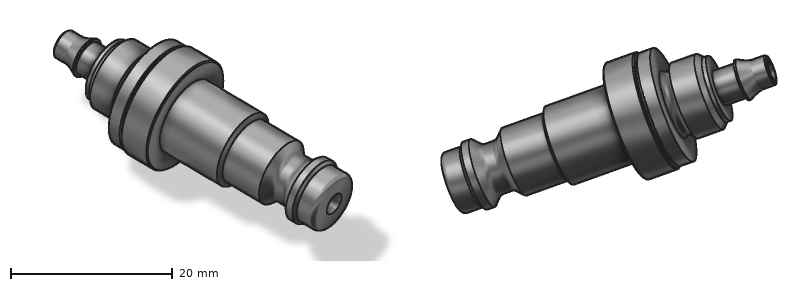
import cadquery as cq

TOTAL_LENGTH = 43.0
BORE_DIAMETER = 2.95

TIP_DIAMETER = 3.95
TIP_CHAMFER = 0.17
BARB_START = 1.98
BARB_CREST = 3.7
BARB_END = 3.95
BARB_DIAMETER = 5.38
BARB_SAG = 0.1
NECK_DIAMETER = 4.6
NECK_END = 7.0

COLLAR_DIAMETER = 8.6
COLLAR_END = 7.55
BAND_DIAMETER = 10.0
BAND_START = 8.3
BAND_END = 11.65
UNDERCUT_DIAMETER = 8.4
UNDERCUT_SHOULDER_DIAMETER = 9.0
UNDERCUT_ARC_START = 12.1
UNDERCUT_FLOOR_START = 12.45
UNDERCUT_FLOOR_END = 12.73
UNDERCUT_SAG = 0.06

FLANGE_DIAMETER = 15.0
FLANGE_START = 13.2
FLANGE_END = 14.9
SPIGOT_DIAMETER = 14.05

RING_DIAMETER = 15.5
RING_START = 15.3
RING_END = 19.5
RING_CHAMFER = 0.17
SHANK_DIAMETER = 10.4
SHANK_END = 28.5
STEM_DIAMETER = 9.0
STEM_START = 28.9
STEM_END = 34.6

LATCH_DIAMETER = 6.65
LATCH_FLOOR_START = 36.15
LATCH_FLOOR_END = 37.32
LATCH_ARC_LENGTH = 0.65
LATCH_ARC_RISE = 0.25
LATCH_ARC_SAG = 0.06
LATCH_RIM_START = 38.87
LATCH_RIM_END = 39.9

PLUG_TIP_DIAMETER = 8.1
PLUG_TIP_START = 40.3
PLUG_TIP_FILLET = 0.65


def line_to_diameter(profile, x, diameter):
    """Extend the half section with a straight line."""
    return profile.lineTo(x, diameter / 2)


def revolve_profile(profile, end):
    """Close the half section along the bore and revolve it about X."""
    closed = profile.lineTo(end, BORE_DIAMETER / 2).close()
    return closed.revolve(360, (0, 0, 0), (1, 0, 0))


def make_hose_fitting():
    """Barbed fitting with a collar, a flange and a locating spigot."""
    profile = cq.Workplane("XY").moveTo(0, BORE_DIAMETER / 2)
    profile = line_to_diameter(profile, 0, TIP_DIAMETER - 2 * TIP_CHAMFER)
    profile = line_to_diameter(profile, TIP_CHAMFER, TIP_DIAMETER)
    profile = line_to_diameter(profile, BARB_START, TIP_DIAMETER)
    profile = profile.sagittaArc((BARB_CREST, BARB_DIAMETER / 2), -BARB_SAG)
    profile = line_to_diameter(profile, BARB_END, BARB_DIAMETER)
    profile = line_to_diameter(profile, BARB_END, NECK_DIAMETER)
    profile = line_to_diameter(profile, NECK_END, NECK_DIAMETER)
    profile = line_to_diameter(profile, NECK_END, COLLAR_DIAMETER)
    profile = line_to_diameter(profile, COLLAR_END, COLLAR_DIAMETER)
    profile = line_to_diameter(profile, BAND_START, BAND_DIAMETER)
    profile = line_to_diameter(profile, BAND_END, BAND_DIAMETER)
    profile = line_to_diameter(profile, UNDERCUT_ARC_START, UNDERCUT_SHOULDER_DIAMETER)
    profile = profile.sagittaArc((UNDERCUT_FLOOR_START, UNDERCUT_DIAMETER / 2), -UNDERCUT_SAG)
    profile = line_to_diameter(profile, UNDERCUT_FLOOR_END, UNDERCUT_DIAMETER)
    profile = profile.sagittaArc((FLANGE_START, UNDERCUT_SHOULDER_DIAMETER / 2), -UNDERCUT_SAG)
    profile = line_to_diameter(profile, FLANGE_START, FLANGE_DIAMETER)
    profile = line_to_diameter(profile, FLANGE_END, FLANGE_DIAMETER)
    profile = line_to_diameter(profile, FLANGE_END, SPIGOT_DIAMETER)
    profile = line_to_diameter(profile, RING_START, SPIGOT_DIAMETER)
    return revolve_profile(profile, RING_START)


def make_plug():
    """Plug with a chamfered ring, a stepped shank and a latch groove."""
    ring_face_diameter = RING_DIAMETER - 2 * RING_CHAMFER
    latch_arc_radius = LATCH_DIAMETER / 2 + LATCH_ARC_RISE
    latch_arc_diameter = 2 * latch_arc_radius
    profile = cq.Workplane("XY").moveTo(RING_START, BORE_DIAMETER / 2)
    profile = line_to_diameter(profile, RING_START, ring_face_diameter)
    profile = line_to_diameter(profile, RING_START + RING_CHAMFER, RING_DIAMETER)
    profile = line_to_diameter(profile, RING_END - RING_CHAMFER, RING_DIAMETER)
    profile = line_to_diameter(profile, RING_END, ring_face_diameter)
    profile = line_to_diameter(profile, RING_END, SHANK_DIAMETER)
    profile = line_to_diameter(profile, SHANK_END, SHANK_DIAMETER)
    profile = line_to_diameter(profile, STEM_START, STEM_DIAMETER)
    profile = line_to_diameter(profile, STEM_END, STEM_DIAMETER)
    profile = line_to_diameter(profile, LATCH_FLOOR_START - LATCH_ARC_LENGTH, latch_arc_diameter)
    profile = profile.sagittaArc((LATCH_FLOOR_START, LATCH_DIAMETER / 2), -LATCH_ARC_SAG)
    profile = line_to_diameter(profile, LATCH_FLOOR_END, LATCH_DIAMETER)
    profile = profile.sagittaArc((LATCH_FLOOR_END + LATCH_ARC_LENGTH, latch_arc_radius), -LATCH_ARC_SAG)
    profile = line_to_diameter(profile, LATCH_RIM_START, STEM_DIAMETER)
    profile = line_to_diameter(profile, LATCH_RIM_END, STEM_DIAMETER)
    profile = line_to_diameter(profile, PLUG_TIP_START, PLUG_TIP_DIAMETER)
    profile = line_to_diameter(profile, TOTAL_LENGTH, PLUG_TIP_DIAMETER)
    plug = revolve_profile(profile, TOTAL_LENGTH)
    outer_end_edge = plug.faces(">X").edges(cq.selectors.RadiusNthSelector(-1))
    return plug.newObject(outer_end_edge.vals()).fillet(PLUG_TIP_FILLET)


def centre_on_length(body):
    """Move the body so that the coupling is centred on the origin."""
    return body.translate((-TOTAL_LENGTH / 2, 0, 0))


hose_fitting = centre_on_length(make_hose_fitting())
plug = centre_on_length(make_plug())

result = cq.Compound.makeCompound([hose_fitting.val(), plug.val()])